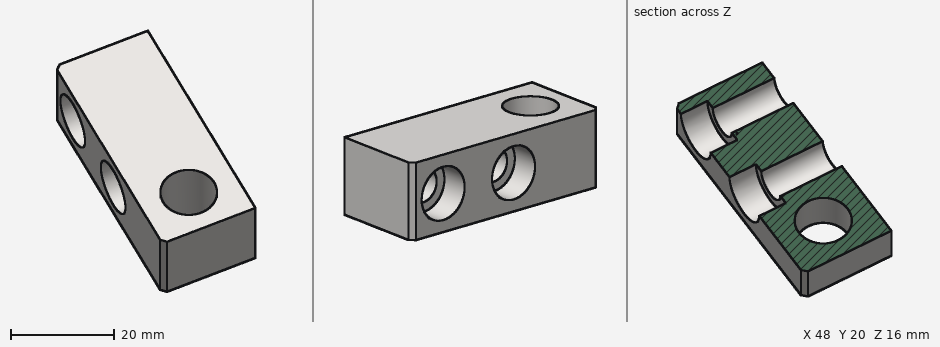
import cadquery as cq

length = 48.0
width = 20.0
height = 16.0
chamfer = 1.0

bolt_diameter = 7.0
counterbore_diameter = 11.0
counterbore_depth = 6.0
first_bolt_from_left = 8.0
bolt_spacing = 18.0

cross_hole_diameter = 11.0
cross_hole_from_left = 39.0

left = -length / 2
bolt_positions = [
    (left + first_bolt_from_left, 0),
    (left + first_bolt_from_left + bolt_spacing, 0),
]

block = cq.Workplane("XY").box(length, width, height)
block = block.faces("<Y").edges("|Z").chamfer(chamfer)

block = (
    block.faces("<Y")
    .workplane(origin=(0, 0, 0))
    .pushPoints(bolt_positions)
    .cboreHole(bolt_diameter, counterbore_diameter, counterbore_depth)
)

result = (
    block.faces(">Z")
    .workplane(origin=(0, 0, 0))
    .center(left + cross_hole_from_left, 0)
    .hole(cross_hole_diameter)
)